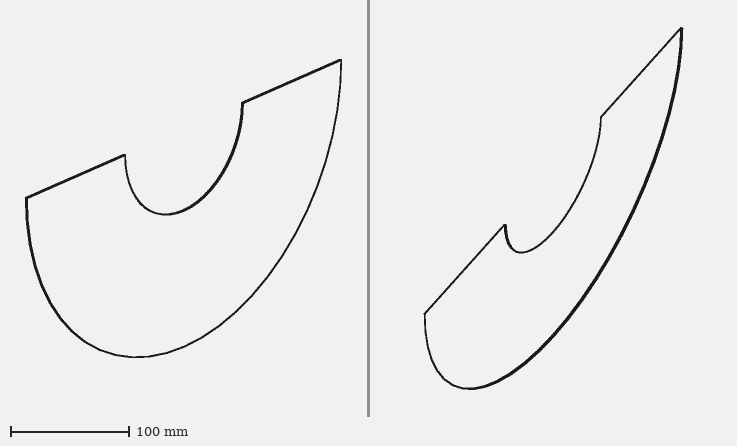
import cadquery as cq

OUTER_RADIUS = 200.0
INNER_RADIUS = 75.0
THICKNESS = 1.59


def half_ring_plate(outer_radius, inner_radius, thickness):
    """Flat half ring in the YZ plane, below Z = 0, centred on X = 0."""
    return (
        cq.Workplane("YZ")
        .moveTo(-outer_radius, 0)
        .threePointArc((0, -outer_radius), (outer_radius, 0))
        .lineTo(inner_radius, 0)
        .threePointArc((0, -inner_radius), (-inner_radius, 0))
        .close()
        .extrude(thickness / 2, both=True)
    )


result = half_ring_plate(OUTER_RADIUS, INNER_RADIUS, THICKNESS)